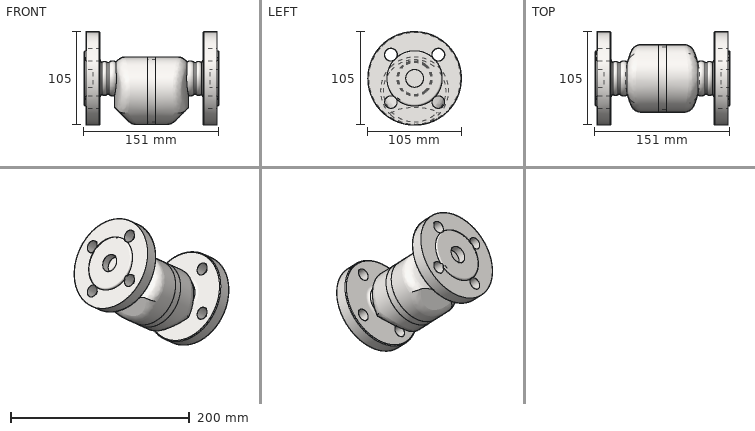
import cadquery as cq
import math

half_length = 75.5

flange_diameter = 105.0
flange_inner_x = 57.7
flange_outer_x = 73.4
flange_chamfer = 1.0
raised_face_diameter = 61.9
raised_face_round = 1.8
bore_diameter = 20.0
bore_depth = 10.0
bolt_hole_diameter = 14.0
bolt_circle_diameter = 75.0
bolt_count = 4

hub_end_x = 55.7
hub_base_radius = 22.2
flare_pull = 0.35

neck_radius = 36.0 / 2
outer_bead_height = 1.2
inner_bead_height = 1.8
land_outer_x = 49.7
land_inner_x = 47.5
inner_bead_end_x = 39.3
neck_root_x = 30.2

drum_diameter = 76.0
drum_radius = drum_diameter / 2
drum_axis_z = -13.9
drum_half_length = 41.5
end_bow_radius = drum_diameter
rim_fillet = 12.1
bevel_top_z = -32.5

ring_half_width = 4.5
ring_depth = 3.0


def x_cylinder(radius, x_start, length, z=0.0):
    """Cylinder along +X, starting at x_start."""
    return cq.Workplane("YZ", origin=(x_start, 0, z)).circle(radius).extrude(length)


def mirrored_in_x(body):
    return body.mirror("YZ")


def make_flange():
    """The flange at the +X end, with its raised face and flared hub."""
    flange_radius = flange_diameter / 2
    face_radius = raised_face_diameter / 2
    face_round_start_x = half_length - raised_face_round

    flare_middle = (
        flange_inner_x - flare_pull * (flange_inner_x - hub_end_x),
        neck_radius + flare_pull * (hub_base_radius - neck_radius),
    )
    round_inset = raised_face_round * (1 - math.sqrt(0.5))
    round_middle = (half_length - round_inset, face_radius - round_inset)

    flange = (
        cq.Workplane("XY")
        .moveTo(hub_end_x, 0)
        .lineTo(hub_end_x, neck_radius)
        .threePointArc(flare_middle, (flange_inner_x, hub_base_radius))
        .lineTo(flange_inner_x, flange_radius - flange_chamfer)
        .lineTo(flange_inner_x + flange_chamfer, flange_radius)
        .lineTo(flange_outer_x, flange_radius)
        .lineTo(flange_outer_x, face_radius)
        .lineTo(face_round_start_x, face_radius)
        .threePointArc(round_middle, (half_length, face_radius - raised_face_round))
        .lineTo(half_length, 0)
        .close()
        .revolve(360, (0, 0, 0), (1, 0, 0))
    )

    bore = x_cylinder(bore_diameter / 2, half_length - bore_depth, bore_depth)
    bolt_holes = (
        cq.Workplane("YZ", origin=(flange_inner_x, 0, 0))
        .polarArray(bolt_circle_diameter / 2, 180 / bolt_count, 360, bolt_count)
        .circle(bolt_hole_diameter / 2)
        .extrude(half_length - flange_inner_x)
    )
    return flange.cut(bore).cut(bolt_holes)


def make_neck():
    """The beaded neck at the +X end, running into the drum."""
    outer_bead_peak = ((hub_end_x + land_outer_x) / 2, neck_radius + outer_bead_height)
    inner_bead_peak = ((land_inner_x + inner_bead_end_x) / 2, neck_radius + inner_bead_height)
    return (
        cq.Workplane("XY")
        .moveTo(hub_end_x, 0)
        .lineTo(hub_end_x, neck_radius)
        .threePointArc(outer_bead_peak, (land_outer_x, neck_radius))
        .lineTo(land_inner_x, neck_radius)
        .threePointArc(inner_bead_peak, (inner_bead_end_x, neck_radius))
        .lineTo(neck_root_x, neck_radius)
        .lineTo(neck_root_x, 0)
        .close()
        .revolve(360, (0, 0, 0), (1, 0, 0))
    )


def make_drum_half():
    """The +X half of the drum: bowed end, 45 degree bevel below, rounded rim."""
    barrel = x_cylinder(drum_radius, 0, drum_half_length, drum_axis_z)

    drum_bottom_z = drum_axis_z - drum_radius
    bow = (
        cq.Workplane("XY", origin=(drum_half_length - end_bow_radius, 0, drum_bottom_z))
        .circle(end_bow_radius)
        .extrude(drum_diameter)
    )

    bevel_size = bevel_top_z - drum_bottom_z
    bevel = (
        cq.Workplane("XZ")
        .moveTo(drum_half_length, bevel_top_z)
        .lineTo(drum_half_length, drum_bottom_z)
        .lineTo(drum_half_length - bevel_size, drum_bottom_z)
        .close()
        .extrude(drum_radius, both=True)
    )
    half = barrel.intersect(bow).cut(bevel)

    barrel_surface = half.faces("%CYLINDER").faces("<X")
    rim = barrel_surface.edges("(not <X) and (not |X)")
    return rim.fillet(rim_fillet)


def make_weld_ring():
    width = 2 * ring_half_width
    outer = x_cylinder(drum_radius, -ring_half_width, width, drum_axis_z)
    inner = x_cylinder(drum_radius - ring_depth, -ring_half_width, width, drum_axis_z)
    return outer.cut(inner)


def make_housing(ring):
    """Both drum halves and their necks in one piece, grooved to take the weld ring."""
    half = make_drum_half().union(make_neck())
    return half.union(mirrored_in_x(half)).cut(ring)


weld_ring = make_weld_ring()
housing = make_housing(weld_ring)
right_flange = make_flange()
flanges = [right_flange, mirrored_in_x(right_flange)]

result = cq.Compound.makeCompound([housing.val(), weld_ring.val(), *[flange.val() for flange in flanges]])